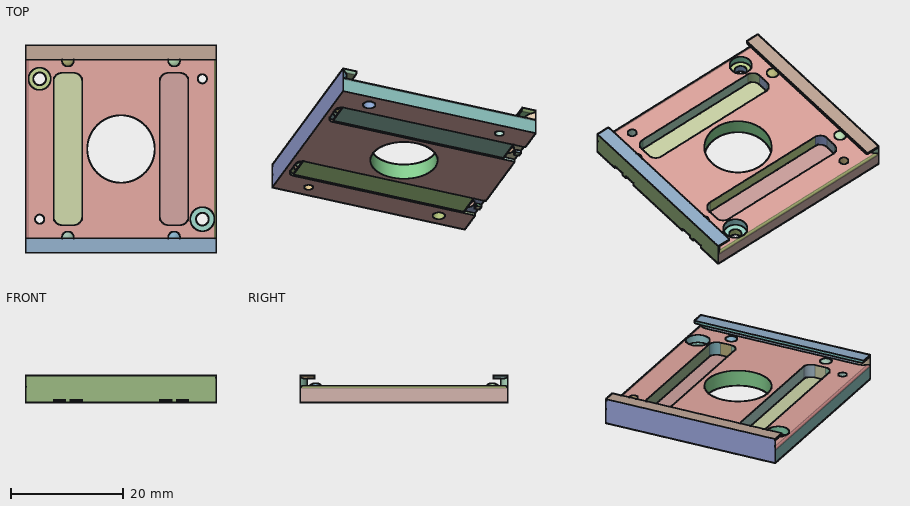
import cadquery as cq
import math

width = 34.0
length = 37.0
height = 4.85

floor_z = 3.05
lip_thickness = 0.55
lip_reach = 2.6
rail_thickness = 1.25
mouth_edge_radius = 0.4
mouth_rail_radius = 2.0

bore_diameter = 12.0

slot_offset = 9.47
slot_width = 5.1
slot_length = 27.12
slot_corner_radius = 1.48
slot_xs = (-slot_offset, slot_offset)

pocket_depth = 0.5
pocket_end_wall = 1.0
pocket_length = length - 2 * pocket_end_wall
pocket_corner_radius = 1.1
notch_rib = 1.0
notch_width = (slot_width - notch_rib) / 2

spring_thickness = 0.22
spring_length = pocket_length - 2 * pocket_corner_radius

hole_x = 14.5
hole_y = 12.5
screw_diameter = 2.22
dowel_diameter = 1.6
counterbore_depth = 1.5
left_counterbore = 3.95
right_counterbore = 4.3

ball_radius = 1.48
ball_y = 15.75
ball_z = pocket_depth + ball_radius
ball_places = [(x, y) for x in slot_xs for y in (-ball_y, ball_y)]


def block(x_size, y_size, z_low, z_high):
    """Box centred on the Z axis between two heights."""
    return cq.Workplane("XY").workplane(offset=z_low).rect(x_size, y_size).extrude(z_high - z_low)


def cylinder(x, y, diameter, z_low, z_high):
    """Upright cylinder between two heights."""
    return cq.Workplane("XY", origin=(x, y, z_low)).circle(diameter / 2).extrude(z_high - z_low)


def rounded_block(x, x_size, y_size, corner_radius, z_low, z_high):
    """Box centred at (x, 0) with rounded vertical edges."""
    return block(x_size, y_size, z_low, z_high).edges("|Z").fillet(corner_radius).translate((x, 0, 0))


def channel_plan():
    """Channel outline seen along Z: straight rails whose ends curve out to the corners."""
    end_x = width / 2
    mouth_y = length / 2
    inner_y = mouth_y - rail_thickness
    sweep = math.acos(1 - rail_thickness / mouth_rail_radius)
    start_x = end_x - mouth_rail_radius * math.sin(sweep)
    mid_x = start_x + mouth_rail_radius * math.sin(sweep / 2)
    mid_y = inner_y + mouth_rail_radius * (1 - math.cos(sweep / 2))
    return (
        cq.Workplane("XY")
        .moveTo(-start_x, inner_y)
        .lineTo(start_x, inner_y)
        .threePointArc((mid_x, mid_y), (end_x, mouth_y))
        .lineTo(end_x, -mouth_y)
        .threePointArc((mid_x, -mid_y), (start_x, -inner_y))
        .lineTo(-start_x, -inner_y)
        .threePointArc((-mid_x, -mid_y), (-end_x, -mouth_y))
        .lineTo(-end_x, mouth_y)
        .threePointArc((-mid_x, mid_y), (-start_x, inner_y))
        .close()
        .extrude(height)
    )


def channel_side():
    """Channel outline seen along Y: floor and ceiling rounded over at both mouths."""
    end_x = width / 2
    straight_x = end_x - mouth_edge_radius
    ceiling_z = height - lip_thickness
    low_z = floor_z - mouth_edge_radius
    high_z = ceiling_z + mouth_edge_radius
    return (
        cq.Workplane("XZ")
        .moveTo(-straight_x, floor_z)
        .lineTo(straight_x, floor_z)
        .radiusArc((end_x, low_z), mouth_edge_radius)
        .lineTo(end_x, high_z)
        .radiusArc((straight_x, ceiling_z), mouth_edge_radius)
        .lineTo(-straight_x, ceiling_z)
        .radiusArc((-end_x, high_z), mouth_edge_radius)
        .lineTo(-end_x, low_z)
        .radiusArc((-straight_x, floor_z), mouth_edge_radius)
        .close()
        .extrude(length / 2, both=True)
    )


def notch(x):
    """Bottom notch from a spring pocket out through the -Y side."""
    y_size = pocket_end_wall + pocket_corner_radius
    y_centre = -(length - y_size) / 2
    return block(notch_width, y_size, 0, pocket_depth).translate((x, y_centre, 0))


def ball(x, y):
    """Sphere at its resting height."""
    return cq.Workplane("XY").sphere(ball_radius).translate((x, y, ball_z))


def make_housing():
    body = block(width, length, 0, height)

    body = body.cut(channel_plan().intersect(channel_side()))
    body = body.cut(block(width, length - 2 * lip_reach, floor_z, height))

    body = body.cut(cylinder(0, 0, bore_diameter, 0, floor_z))

    for x in slot_xs:
        body = body.cut(rounded_block(x, slot_width, slot_length, slot_corner_radius, 0, floor_z))
        body = body.cut(rounded_block(x, slot_width, pocket_length, pocket_corner_radius, 0, pocket_depth))
        for side in (-1, 1):
            body = body.cut(notch(x + side * (notch_rib + notch_width) / 2))

    for side, counterbore in ((-1, left_counterbore), (1, right_counterbore)):
        x = side * hole_x
        y = -side * hole_y
        body = body.cut(cylinder(x, y, screw_diameter, 0, floor_z))
        body = body.cut(cylinder(x, y, counterbore, floor_z - counterbore_depth, floor_z))
        body = body.cut(cylinder(x, -y, dowel_diameter, 0, floor_z))

    for x, y in ball_places:
        body = body.cut(cylinder(x, y, 2 * ball_radius, 0, ball_z))
        body = body.cut(ball(x, y))
    return body


def make_spring(x):
    spring = block(slot_width, spring_length, pocket_depth - spring_thickness, pocket_depth)
    return spring.translate((x, 0, 0))


housing = make_housing()
springs = [make_spring(x) for x in slot_xs]
balls = [ball(x, y) for x, y in ball_places]

result = cq.Compound.makeCompound(
    [housing.val(), *[spring.val() for spring in springs], *[item.val() for item in balls]]
)